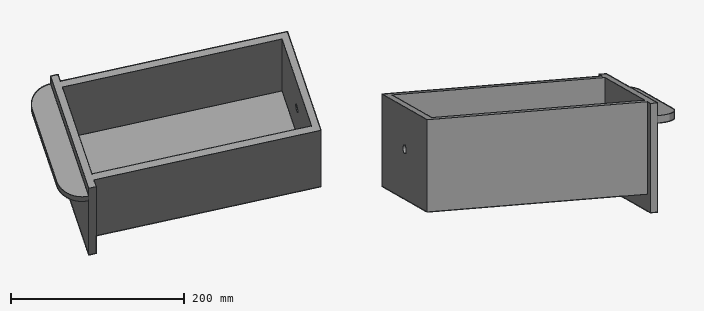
import cadquery as cq


board = 9.0

panel_width = 167.0
panel_height = 129.0

side_overhang = 10.0
bottom_overhang = 20.0
box_width = panel_width - 2 * side_overhang
box_height = panel_height - bottom_overhang
box_length = 271.0

cavity_width = box_width - 2 * board
cavity_length = box_length - board
cavity_floor_z = bottom_overhang + board
cavity_depth = panel_height - cavity_floor_z

handle_reach = 30.0
handle_corner_radius = handle_reach
handle_drop = 15.0

back_hole_diameter = 10.0
back_hole_z = cavity_floor_z + cavity_depth / 2
floor_hole_diameter = 2.5
floor_hole_setback = 10.0
floor_hole_y = cavity_length - floor_hole_setback


def make_panel():
    """Front panel lying just in front of the box."""
    return cq.Workplane("XY").box(
        panel_width, board, panel_height, centered=(True, False, False)
    ).translate((0, -board, 0))


def make_box():
    """Drawer box with an open top and an open front end."""
    outer = cq.Workplane("XY").workplane(offset=bottom_overhang).box(
        box_width, box_length, box_height, centered=(True, False, False)
    )
    cavity = cq.Workplane("XY").workplane(offset=cavity_floor_z).box(
        cavity_width, cavity_length, cavity_depth, centered=(True, False, False)
    )
    return outer.cut(cavity)


def make_handle():
    """Flat handle across the panel with its two front corners rounded."""
    handle_bottom_z = panel_height - handle_drop - board
    root_y = -board
    tip_y = root_y - handle_reach
    half_width = panel_width / 2
    half_straight = half_width - handle_corner_radius
    arc_centre_y = tip_y + handle_corner_radius
    arc_offset = handle_corner_radius * 0.5 ** 0.5
    arc_mid_x = half_straight + arc_offset
    arc_mid_y = arc_centre_y - arc_offset
    return (
        cq.Workplane("XY")
        .workplane(offset=handle_bottom_z)
        .moveTo(-half_width, root_y)
        .threePointArc((-arc_mid_x, arc_mid_y), (-half_straight, tip_y))
        .lineTo(half_straight, tip_y)
        .threePointArc((arc_mid_x, arc_mid_y), (half_width, root_y))
        .close()
        .extrude(board)
    )


def make_back_hole():
    """Cutter for the hole through the back wall."""
    return (
        cq.Workplane("XZ", origin=(0, box_length, back_hole_z))
        .circle(back_hole_diameter / 2)
        .extrude(board)
    )


def make_floor_hole():
    """Cutter for the small hole through the floor near the back wall."""
    return (
        cq.Workplane("XY", origin=(0, floor_hole_y, bottom_overhang))
        .circle(floor_hole_diameter / 2)
        .extrude(board)
    )


drawer = make_box().union(make_panel()).union(make_handle())
result = drawer.cut(make_back_hole()).cut(make_floor_hole())